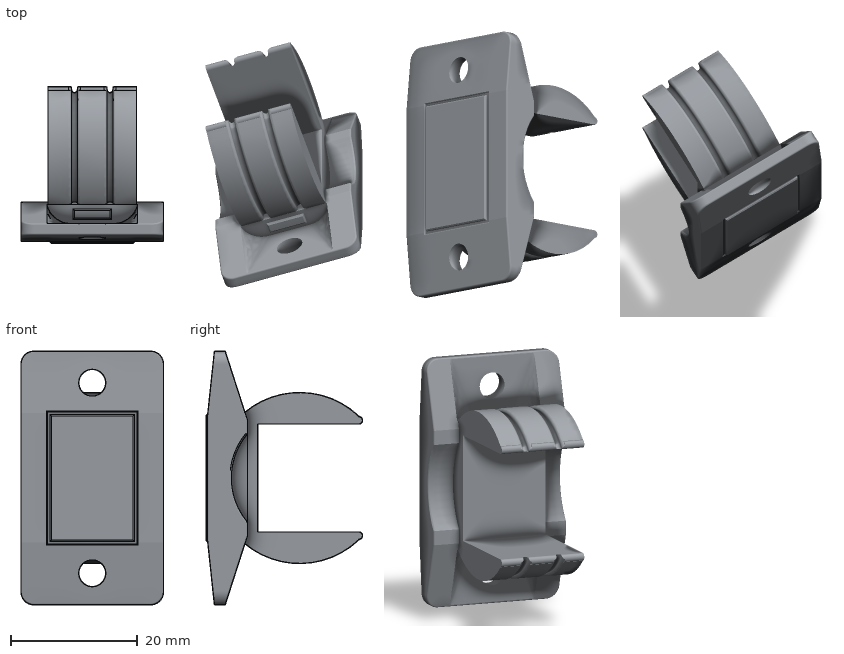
import cadquery as cq
import math


plate_width = 22.5
plate_length = 40.0
corner_radius = 2.1
edge_round = 0.25
front_flat_length = 20.4
front_taper_drop = 1.05
back_flat_y = 6.25
back_flat_length = 18.4
end_back_y = 2.75

hole_diameter = 4.2
hole_z = 15.0
recess_width = 14.5
recess_floor_y = 2.85
recess_wall_z = 10.35
recess_inner_round = 3.85
recess_end_round = 0.2

catch_width = 6.1
catch_depth = 1.7
catch_height = 0.4
catch_chamfer = 0.25
catch_y = 4.3

pocket_width = 14.5
pocket_length = 21.2
pocket_depth = 0.25
pocket_chamfer = 0.2
panel_width = 13.3
panel_length = 20.0
panel_proud = 0.3
panel_chamfer = 0.2

clamp_width = 14.0
clamp_radius = 13.5
clamp_axis_y = 14.5
clamp_tip_y = 24.4
clamp_seat_y = 7.9
clamp_gap = 16.95
lip_radius = 0.6

groove_width = 0.9
groove_depth = 1.1
groove_offset = 2.8
groove_edge_round = 0.5

scallop_radius = 10.75

edge_tolerance = 0.0005


def box_between(x_low, x_high, y_low, y_high, z_low, z_high):
    """Box given by its limits along the three axes."""
    size = (x_high - x_low, y_high - y_low, z_high - z_low)
    return cq.Workplane("XY").box(*size, centered=False).translate((x_low, y_low, z_low))


def clamp_cylinder(radius, width):
    """Solid cylinder on the clamp axis, centred across X."""
    return cq.Workplane("YZ").center(clamp_axis_y, 0).circle(radius).extrude(width / 2, both=True)


def plate_blank():
    """Wedge-shaped plate with rounded corners, before any cut."""
    half = plate_length / 2
    front = front_flat_length / 2
    back = back_flat_length / 2
    profile = [
        (0, -front),
        (front_taper_drop, -half),
        (end_back_y, -half),
        (back_flat_y, -back),
        (back_flat_y, back),
        (end_back_y, half),
        (front_taper_drop, half),
        (0, front),
    ]
    blank = cq.Workplane("YZ").polyline(profile).close().extrude(plate_width / 2, both=True)
    outline = (
        cq.Workplane("XZ")
        .rect(plate_width, plate_length)
        .extrude(-back_flat_y)
        .edges("|Y")
        .fillet(corner_radius)
    )
    return blank.intersect(outline)


def is_rim(edge):
    """True for an edge where the outer side wall meets the front or the back of the plate."""
    box = edge.BoundingBox()
    center = edge.Center()
    spans_x = box.xlen > 0.4
    spans_z = box.zlen > 0.4
    on_side = abs(abs(center.x) - plate_width / 2) < edge_tolerance and spans_z and not spans_x
    on_end = abs(abs(center.z) - plate_length / 2) < edge_tolerance and spans_x
    return on_side or on_end or (spans_x and spans_z)


def recess_section(plane, corner):
    """Cross-section of a recess: flat floor, straight sides and rounded floor corners."""
    half = recess_width / 2
    top = 2 * back_flat_y
    floor = recess_floor_y
    bend = corner * (1 - math.sqrt(0.5))
    return (
        plane.moveTo(-half, top)
        .lineTo(-half, floor + corner)
        .threePointArc((-half + bend, floor + bend), (-half + corner, floor))
        .lineTo(half - corner, floor)
        .threePointArc((half - bend, floor + bend), (half, floor + corner))
        .lineTo(half, top)
        .close()
    )


def recess_cutter():
    """Recess from the inner wall out to the plate end; its floor corners tighten towards the end."""
    inner = recess_section(cq.Workplane("XY", origin=(0, 0, recess_wall_z)), recess_inner_round)
    run = plate_length / 2 - recess_wall_z
    return recess_section(inner.workplane(offset=run), recess_end_round).loft(ruled=True)


def hole_cutter():
    """Fixing hole through the full thickness of the plate."""
    return cq.Workplane("XZ").center(0, hole_z).circle(hole_diameter / 2).extrude(-back_flat_y)


def catch():
    """Low rectangular catch standing on the inner wall of a recess."""
    return (
        cq.Workplane("XY", origin=(0, catch_y, recess_wall_z))
        .rect(catch_width, catch_depth)
        .extrude(catch_height)
        .faces(">Z")
        .edges()
        .chamfer(catch_chamfer)
    )


def panel_pocket():
    """Pocket for the panel, with a chamfered mouth."""
    inner_width = pocket_width - 2 * pocket_chamfer
    inner_length = pocket_length - 2 * pocket_chamfer
    pocket = (
        cq.Workplane("XZ", origin=(0, pocket_depth, 0))
        .rect(inner_width, inner_length)
        .extrude(pocket_depth)
    )
    mouth = (
        cq.Workplane("XZ", origin=(0, pocket_chamfer, 0))
        .rect(inner_width, inner_length)
        .workplane(offset=pocket_chamfer)
        .rect(pocket_width, pocket_length)
        .loft()
    )
    return pocket.union(mouth)


def make_plate():
    """Plate with rounded rims, side scallops, fixing holes, recesses, catches and panel pocket."""
    blank = plate_blank()
    plate = blank.cut(clamp_cylinder(scallop_radius, plate_width))
    rims = [edge for edge in plate.edges().vals() if is_rim(edge)]
    plate = plate.newObject(rims).fillet(edge_round)

    core_x = clamp_width / 2
    core_z = back_flat_length / 2
    core = blank.intersect(box_between(-core_x, core_x, 0.4, back_flat_y, -core_z, core_z))
    plate = plate.union(core)

    for cutter in (recess_cutter(), hole_cutter()):
        plate = plate.cut(cutter).cut(cutter.mirror("XY"))
    plate = plate.union(catch()).union(catch().mirror("XY"))
    return plate.cut(panel_pocket())


def make_panel():
    """Flat panel with a chamfered front, standing slightly proud of the plate."""
    return (
        cq.Workplane("XZ", origin=(0, pocket_depth, 0))
        .rect(panel_width, panel_length)
        .extrude(pocket_depth + panel_proud)
        .faces("<Y")
        .edges()
        .chamfer(panel_chamfer)
    )


def groove_cutter(x):
    """Round-bottomed ring groove with rounded lips."""
    half = groove_width / 2
    lip = groove_edge_round
    outer = clamp_radius
    bottom = outer - groove_depth
    bend = lip * (1 - math.sqrt(0.5))
    return (
        cq.Workplane("XY", origin=(x, clamp_axis_y, 0))
        .moveTo(-half - lip, outer + lip)
        .lineTo(-half - lip, outer)
        .threePointArc((-half - bend, outer - bend), (-half, outer - lip))
        .lineTo(-half, bottom + half)
        .threePointArc((0, bottom), (half, bottom + half))
        .lineTo(half, outer - lip)
        .threePointArc((half + bend, outer - bend), (half + lip, outer))
        .lineTo(half + lip, outer + lip)
        .close()
        .revolve(360, (0, 0, 0), (1, 0, 0))
    )


def make_clamp():
    """Round clamp with a square mouth, seated against the back of the plate."""
    half_width = clamp_width / 2
    half_gap = clamp_gap / 2
    lip_y = clamp_tip_y - lip_radius
    lip_z = half_gap + lip_radius
    block = box_between(-half_width, half_width, 0, lip_y, -clamp_radius, clamp_radius)
    mouth = box_between(-half_width, half_width, clamp_seat_y, clamp_tip_y, -half_gap, half_gap)
    lips = (
        cq.Workplane("YZ")
        .pushPoints([(lip_y, -lip_z), (lip_y, lip_z)])
        .circle(lip_radius)
        .extrude(half_width, both=True)
    )
    clamp = clamp_cylinder(clamp_radius, clamp_width).intersect(block).cut(mouth).union(lips)
    for x in (-groove_offset, groove_offset):
        clamp = clamp.cut(groove_cutter(x))
    return clamp.cut(plate_blank())


plate = make_plate()
panel = make_panel()
clamp = make_clamp()
result = cq.Compound.makeCompound([plate.val(), panel.val(), clamp.val()])